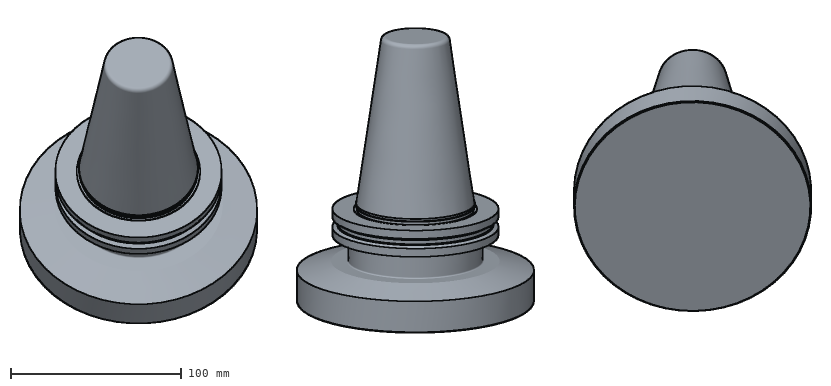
import cadquery as cq

total_height = 161.8
base_radius = 69.7

base_chamfer = 0.6
base_rim_height = 19.4
shoulder_height = 24.9
shoulder_radius = 49.5

collar_radius = 39.5
collar_fillet = 0.8

flange_bottom = 40.8
flange_thickness = 16.0
flange_radius = 48.8
groove_root_radius = 45.6
groove_root_width = 3.2
groove_mouth_width = 6.0
groove_root_fillet = 0.6

recess_radius = 36.2
recess_depth = 0.5

neck_radius = 34.5
ring_radius = 35.1
taper_large_radius = 34.8
ring_bottom = 58.7
gauge_height = 60.0
taper_radius_slope = 7 / 48
tip_fillet = 2.7

flange_top = flange_bottom + flange_thickness
groove_center = flange_bottom + flange_thickness / 2
ring_step = ring_radius - neck_radius
tip_radius = taper_large_radius - taper_radius_slope * (total_height - gauge_height)


def turned(outline):
    """Revolve a closed (radius, height) outline about the Z axis."""
    return cq.Workplane("XZ").polyline(outline).close().revolve(360, (0, 0), (0, 1))


def ring_cut(inner_radius, outer_radius, bottom, depth):
    """Annular cutter with a rectangular section."""
    return (
        cq.Workplane("XY")
        .workplane(offset=bottom)
        .circle(outer_radius)
        .circle(inner_radius)
        .extrude(depth)
    )


base = turned([
    (0, 0),
    (base_radius - base_chamfer, 0),
    (base_radius, base_chamfer),
    (base_radius, base_rim_height),
    (shoulder_radius, shoulder_height),
    (0, shoulder_height),
])

collar = (
    cq.Workplane("XZ")
    .moveTo(0, shoulder_height)
    .lineTo(collar_radius + collar_fillet, shoulder_height)
    .radiusArc((collar_radius, shoulder_height + collar_fillet), collar_fillet)
    .lineTo(collar_radius, flange_bottom - collar_fillet)
    .radiusArc((collar_radius + collar_fillet, flange_bottom), collar_fillet)
    .lineTo(0, flange_bottom)
    .close()
    .revolve(360, (0, 0), (0, 1))
)

flange = turned([
    (0, flange_bottom),
    (flange_radius, flange_bottom),
    (flange_radius, groove_center - groove_mouth_width / 2),
    (groove_root_radius, groove_center - groove_root_width / 2),
    (groove_root_radius, groove_center + groove_root_width / 2),
    (flange_radius, groove_center + groove_mouth_width / 2),
    (flange_radius, flange_top),
    (0, flange_top),
])
flange = flange.edges(cq.selectors.RadiusNthSelector(0)).fillet(groove_root_fillet)
flange = flange.cut(ring_cut(neck_radius, recess_radius, flange_top - recess_depth, recess_depth))

shank = turned([
    (0, flange_bottom),
    (neck_radius, flange_bottom),
    (neck_radius, ring_bottom - ring_step),
    (ring_radius, ring_bottom),
    (ring_radius, gauge_height),
    (taper_large_radius, gauge_height),
    (tip_radius, total_height),
    (0, total_height),
])
shank = shank.faces(">Z").edges().fillet(tip_fillet)

result = base.union(collar).union(flange).union(shank)